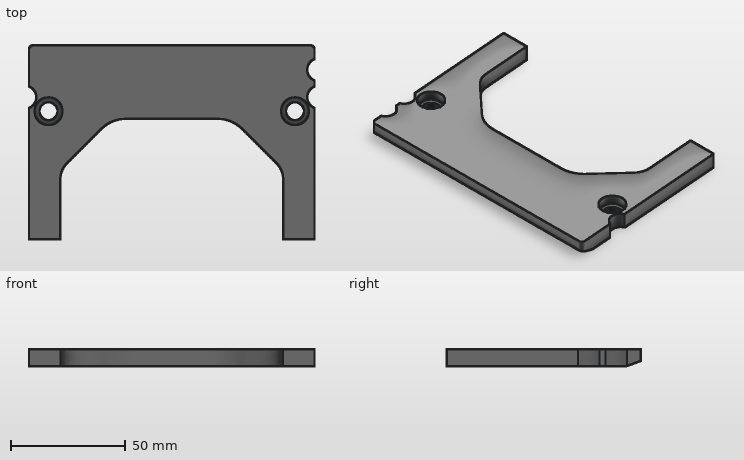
import cadquery as cq
import math

width = 125.0
length = 85.0
thickness = 7.6
rear_corner_radius = 2.0

bevel_run = 6.6
bevel_angle = 20.0
bevel_rise = bevel_run * math.tan(math.radians(bevel_angle))

arm_width = 13.8
bridge_depth = 32.3
opening_chamfer = 22.3
opening_upper_radius = 15.0
opening_lower_radius = 10.0

notch_radius = 5.0
notch_depth = 3.2
notch_setback = 22.8
notch_spacing = 12.0

hole_diameter = 7.8
counterbore_diameter = 12.2
counterbore_depth = 4.6
hole_inset = 8.6
hole_setback = 28.9

half_width = width / 2
opening_half_width = half_width - arm_width
opening_top = length - bridge_depth


def make_plate():
    """Rectangular plate with its two rear corners rounded."""
    plate = cq.Workplane("XY").box(width, length, thickness, centered=(True, False, False))
    return plate.edges("|Z and >Y").fillet(rear_corner_radius)


def make_opening():
    """Cutter for the opening: chamfered at the top, with every bend rounded."""
    shoulder_y = opening_top - opening_chamfer
    ceiling_half_width = opening_half_width - opening_chamfer
    cutter = (
        cq.Workplane("XY")
        .moveTo(-opening_half_width, 0)
        .lineTo(-opening_half_width, shoulder_y)
        .lineTo(-ceiling_half_width, opening_top)
        .lineTo(ceiling_half_width, opening_top)
        .lineTo(opening_half_width, shoulder_y)
        .lineTo(opening_half_width, 0)
        .close()
        .extrude(thickness)
    )
    cutter = cutter.edges("|Z and >Y").fillet(opening_upper_radius)
    band = opening_chamfer / 2
    lower_bends = cq.selectors.BoxSelector(
        (-half_width, shoulder_y - band, 0),
        (half_width, shoulder_y + band, thickness),
    )
    return cutter.edges("|Z").edges(lower_bends).fillet(opening_lower_radius)


def make_rear_bevel():
    """Triangular prism that removes the lower rear edge over the full width."""
    return (
        cq.Workplane("YZ")
        .moveTo(length - bevel_run, 0)
        .lineTo(length, 0)
        .lineTo(length, bevel_rise)
        .close()
        .extrude(half_width, both=True)
    )


def make_notches():
    """Cylinders for one notch in the -X edge and two in the +X edge."""
    centre_x = half_width + notch_radius - notch_depth
    front_y = length - notch_setback
    centres = [
        (-centre_x, front_y),
        (centre_x, front_y),
        (centre_x, front_y + notch_spacing),
    ]
    return cq.Workplane("XY").pushPoints(centres).circle(notch_radius).extrude(thickness)


def cut_screw_holes(body):
    """Drill a mirrored pair of holes, counterbored from the top face."""
    hole_x = half_width - hole_inset
    hole_y = length - hole_setback
    return (
        body.faces(">Z")
        .workplane(origin=(0, 0, thickness))
        .pushPoints([(-hole_x, hole_y), (hole_x, hole_y)])
        .cboreHole(hole_diameter, counterbore_diameter, counterbore_depth)
    )


body = make_plate()
body = body.cut(make_opening())
body = body.cut(make_rear_bevel())
body = body.cut(make_notches())
result = cut_screw_holes(body)